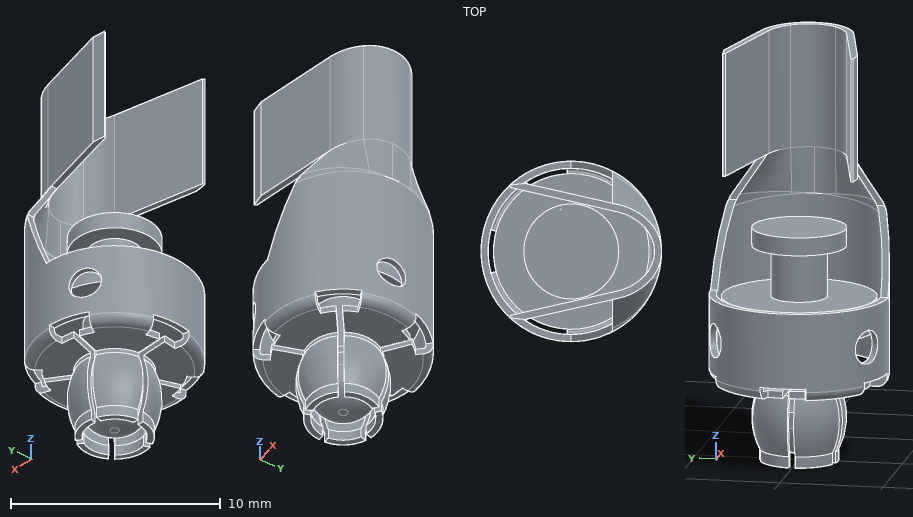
import cadquery as cq
import math

sheet = 0.35
cup_radius = 4.3
cup_inner_radius = cup_radius - sheet
total_height = 20.4

floor_underside = 3.77
floor_top = floor_underside + sheet
rim_height = 8.1
bend_height = 12.12
clip_bottom = 14.38
cup_corner_radius = 0.49
bend_radius = 1.02

side_hole_radius = 0.82
side_hole_height = 6.15
side_hole_count = 3

collet_top_radius = 1.95
collet_bulge_radius = 2.26
collet_end_radius = 1.9
bulge_top = 3.55
bulge_middle = 2.1
bulge_bottom = 0.55
finger_count = 5
slot_width = 0.3
window_angle = 30.0
window_inner_radius = 3.47
window_top = 4.43

neck_edge_x = 1.95
neck_seam_angle = 15.8
neck_side_angle = 68.0
nose_radius = 2.0
nose_half_angle = 41.0
shoulder_radius = 2.85
clip_flare = 12.8
arm_bevel_start_x = -2.2
arm_tip_x = -2.94
arm_tip_y = 3.16
arm_inner_end_x = -2.88

head_radius = 2.26
head_bottom = 10.49
head_top = 11.36
stem_radius = 1.35
flange_radius = 3.71
flange_bottom = 6.47
flange_top = 8.0
shank_radius = 1.5
bulb_radius = 1.73
shank_bottom = 3.3
bulb_top = 2.7
bulb_end = 1.9
pin_tip = 0.39

flare_tan = math.tan(math.radians(clip_flare))
arm_normal_angle = 90 - clip_flare

nose_center = (cup_radius - nose_radius, 0)
shoulder_offset = nose_radius - shoulder_radius
shoulder_center = (
    nose_center[0] + shoulder_offset * math.cos(math.radians(nose_half_angle)),
    shoulder_offset * math.sin(math.radians(nose_half_angle)),
)


def polar(radius, angle, center=(0, 0)):
    """Point at an angle in degrees around a centre."""
    turn = math.radians(angle)
    return (center[0] + radius * math.cos(turn), center[1] + radius * math.sin(turn))


def mirrored(point):
    return (point[0], -point[1])


def nose_seam(inset):
    """Point where nose and shoulder of the U meet on the +Y side, inset from the outer face."""
    return polar(nose_radius - inset, nose_half_angle, nose_center)


def shoulder_point(angle, inset):
    """Point on the +Y shoulder arc of the U, inset from the outer face."""
    return polar(shoulder_radius - inset, angle, shoulder_center)


def arm_point(x, inset):
    """Point on the straight face of the +Y arm of the U, inset from the outer face."""
    start_x, start_y = shoulder_point(arm_normal_angle, inset)
    return (x, start_y + (start_x - x) * flare_tan)


def ring_sector(inner, outer, bottom, top, angle):
    """Sector of a ring, centred on the +X direction."""
    half = angle / 2
    return (
        cq.Workplane("XY", origin=(0, 0, bottom))
        .moveTo(*polar(inner, -half))
        .lineTo(*polar(outer, -half))
        .threePointArc((outer, 0), polar(outer, half))
        .lineTo(*polar(inner, half))
        .threePointArc((inner, 0), polar(inner, -half))
        .close()
        .extrude(top - bottom)
    )


def make_cup():
    """Cup wall up to the rim, its floor and the bulging collet, turned in one piece."""
    corner_inner = cup_corner_radius - sheet
    corner_x = cup_radius - cup_corner_radius
    corner_z = floor_underside + cup_corner_radius
    diagonal = math.sqrt(0.5)
    return (
        cq.Workplane("XZ")
        .moveTo(collet_end_radius - sheet, 0)
        .lineTo(collet_end_radius, 0)
        .lineTo(collet_end_radius, bulge_bottom)
        .threePointArc((collet_bulge_radius, bulge_middle), (collet_top_radius, bulge_top))
        .lineTo(collet_top_radius, floor_underside)
        .lineTo(corner_x, floor_underside)
        .threePointArc(
            (corner_x + cup_corner_radius * diagonal, corner_z - cup_corner_radius * diagonal),
            (cup_radius, corner_z),
        )
        .lineTo(cup_radius, rim_height)
        .lineTo(cup_inner_radius, rim_height)
        .lineTo(cup_inner_radius, corner_z)
        .threePointArc(
            (corner_x + corner_inner * diagonal, corner_z - corner_inner * diagonal),
            (corner_x, floor_top),
        )
        .lineTo(collet_top_radius - sheet, floor_top)
        .lineTo(collet_top_radius - sheet, bulge_top)
        .threePointArc(
            (collet_bulge_radius - sheet, bulge_middle),
            (collet_end_radius - sheet, bulge_bottom),
        )
        .close()
        .revolve(360, (0, 0, 0), (0, 1, 0))
    )


def neck_half(inset):
    """+Y half of the solid that blends from the round cup to the U of the clip."""
    round_radius = cup_radius - inset
    round_seam = polar(round_radius, neck_seam_angle)
    round_strip_middle = polar(round_radius, neck_seam_angle / 2)
    round_side = polar(round_radius, neck_side_angle)
    round_middle = polar(round_radius, (neck_seam_angle + neck_side_angle) / 2)
    clip_seam = nose_seam(inset)
    clip_strip_middle = polar(nose_radius - inset, nose_half_angle / 2, nose_center)
    clip_side = shoulder_point(90, inset)
    clip_middle = shoulder_point((nose_half_angle + 90) / 2, inset)
    return (
        cq.Workplane("XY", origin=(0, 0, bend_height))
        .lineTo(round_radius, 0)
        .threePointArc(round_strip_middle, round_seam)
        .threePointArc(round_middle, round_side)
        .close()
        .workplane(offset=clip_bottom - bend_height)
        .lineTo(round_radius, 0)
        .threePointArc(clip_strip_middle, clip_seam)
        .threePointArc(clip_middle, clip_side)
        .close()
        .loft(ruled=True)
    )


def make_clip():
    """U-shaped spring clip whose arms taper towards their tips."""
    shoulder_middle = (nose_half_angle + arm_normal_angle) / 2
    outer_seam = nose_seam(0)
    outer_middle = shoulder_point(shoulder_middle, 0)
    outer_arm = shoulder_point(arm_normal_angle, 0)
    bevel_start = arm_point(arm_bevel_start_x, 0)
    tip = (arm_tip_x, arm_tip_y)
    inner_end = arm_point(arm_inner_end_x, sheet)
    inner_arm = shoulder_point(arm_normal_angle, sheet)
    inner_middle = shoulder_point(shoulder_middle, sheet)
    inner_seam = nose_seam(sheet)
    return (
        cq.Workplane("XY", origin=(0, 0, clip_bottom))
        .moveTo(*tip)
        .lineTo(*bevel_start)
        .lineTo(*outer_arm)
        .threePointArc(outer_middle, outer_seam)
        .threePointArc((cup_radius, 0), mirrored(outer_seam))
        .threePointArc(mirrored(outer_middle), mirrored(outer_arm))
        .lineTo(*mirrored(bevel_start))
        .lineTo(*mirrored(tip))
        .lineTo(*mirrored(inner_end))
        .lineTo(*mirrored(inner_arm))
        .threePointArc(mirrored(inner_middle), mirrored(inner_seam))
        .threePointArc((cup_inner_radius, 0), inner_seam)
        .threePointArc(inner_middle, inner_arm)
        .lineTo(*inner_end)
        .close()
        .extrude(total_height - clip_bottom)
    )


def front_opening():
    """Prism that opens the cup and neck above the rim, with sloping side edges."""
    return (
        cq.Workplane("XZ")
        .moveTo(-2 * cup_radius, rim_height)
        .lineTo(0, rim_height)
        .lineTo(neck_edge_x, bend_height)
        .lineTo(neck_edge_x, clip_bottom)
        .lineTo(-2 * cup_radius, clip_bottom)
        .close()
        .extrude(2 * cup_radius, both=True)
    )


def side_hole(angle):
    return (
        cq.Workplane("YZ")
        .center(0, side_hole_height)
        .circle(side_hole_radius)
        .extrude(2 * cup_radius)
        .rotate((0, 0, 0), (0, 0, 1), angle)
    )


def finger_gap(angle):
    """Window in the foot of the cup with the radial slot that splits the collet below it."""
    window = ring_sector(window_inner_radius, 2 * cup_radius, 0, window_top, window_angle)
    slot = cq.Workplane("XY").box(
        cup_inner_radius, slot_width, window_top, centered=(False, True, False)
    )
    return window.union(slot).rotate((0, 0, 0), (0, 0, 1), angle)


def back_half(inset):
    """+Y half of the round stretch above the rim and the neck, the bend between them rounded."""
    round_radius = cup_radius - inset
    round_part = (
        cq.Workplane("XY", origin=(0, 0, rim_height))
        .moveTo(-round_radius, 0)
        .lineTo(round_radius, 0)
        .threePointArc((0, round_radius), (-round_radius, 0))
        .close()
        .extrude(bend_height - rim_height)
    )
    bend_x, bend_y = polar(round_radius, (neck_seam_angle + neck_side_angle) / 2)
    return (
        round_part.union(neck_half(inset))
        .edges(cq.NearestToPointSelector((bend_x, bend_y, bend_height)))
        .fillet(bend_radius)
    )


def make_back():
    """Sheet behind the pin: sloping sides above the rim, narrowing into the neck."""
    half = back_half(0).cut(front_opening()).cut(back_half(sheet))
    return half.union(half.mirror("XZ"))


def make_housing():
    housing = make_cup().union(make_back()).union(make_clip())
    for index in range(side_hole_count):
        housing = housing.cut(side_hole(index * 360 / side_hole_count))
    for index in range(finger_count):
        housing = housing.cut(finger_gap(180 + index * 360 / finger_count))
    return housing


def make_pin():
    """Turned pin: flat head, stem, wide flange, shank and a round-ended bulb."""
    tip_round = bulb_end - pin_tip
    tip_flat = bulb_radius - tip_round
    diagonal = math.sqrt(0.5)
    return (
        cq.Workplane("XZ")
        .moveTo(0, pin_tip)
        .lineTo(tip_flat, pin_tip)
        .threePointArc(
            (tip_flat + tip_round * diagonal, bulb_end - tip_round * diagonal),
            (bulb_radius, bulb_end),
        )
        .lineTo(bulb_radius, bulb_top)
        .lineTo(shank_radius, shank_bottom)
        .lineTo(shank_radius, flange_bottom)
        .lineTo(flange_radius, flange_bottom)
        .lineTo(flange_radius, flange_top)
        .lineTo(stem_radius, flange_top)
        .lineTo(stem_radius, head_bottom)
        .lineTo(head_radius, head_bottom)
        .lineTo(head_radius, head_top)
        .lineTo(0, head_top)
        .close()
        .revolve(360, (0, 0, 0), (0, 1, 0))
    )


housing = make_housing()
pin = make_pin()
result = cq.Compound.makeCompound([housing.val(), pin.val()])